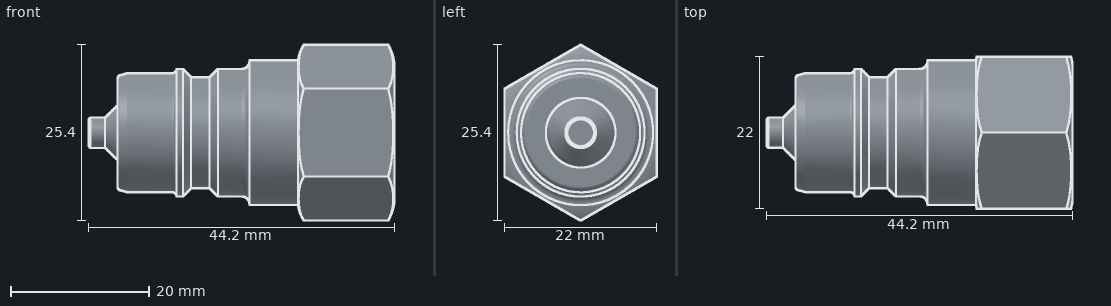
import cadquery as cq
import math

LENGTH = 44.2

PIN_RADIUS = 2.2
PIN_CHAMFER = 0.25
PIN_LENGTH = 2.4
CONE_RADIUS = 4.5
BORE_RADIUS = 5.05
SEAT_LENGTH = 0.8

NOSE_X = 4.15
NOSE_RADIUS = 8.6
NOSE_ROUND = 0.55
TAPER_END_X = 5.6
TAPER_ANGLE = math.radians(15)

COLLAR_RADIUS = 9.25
COLLAR_X = 12.7
COLLAR_WIDTH = 0.93
GROOVE_RADIUS = 8.05
GROOVE_X = 14.8
GROOVE_END_X = 17.45

SHOULDER_X = 23.2
SHOULDER_RADIUS = 10.45
SHOULDER_FILLET = 1.05

HEX_X = 30.2
HEX_FLATS = 22.0
FRONT_CROWN_MID_DROP = 0.105
FRONT_CROWN_DROP = 0.85
REAR_FACE_RADIUS = 8.4
REAR_CROWN_MID_DROP = 0.2
REAR_CROWN_DROP = 0.93


def revolve_about_x(profile):
    return profile.close().revolve(360, (0, 0, 0), (1, 0, 0))


def concave_fillet(profile, start_x, start_radius, fillet):
    """Run a quarter-round fillet outward from a cylinder."""
    offset = fillet * math.sin(math.pi / 4)
    middle = (start_x + offset, start_radius + fillet - offset)
    return profile.threePointArc(middle, (start_x + fillet, start_radius + fillet))


def make_body():
    round_x = NOSE_X + NOSE_ROUND * (1 - math.sin(TAPER_ANGLE))
    round_radius = NOSE_RADIUS - (TAPER_END_X - round_x) * math.tan(TAPER_ANGLE)
    face_radius = round_radius - NOSE_ROUND * math.cos(TAPER_ANGLE)
    middle_angle = (math.pi / 2 - TAPER_ANGLE) / 2
    round_middle = (
        NOSE_X + NOSE_ROUND * (1 - math.cos(middle_angle)),
        face_radius + NOSE_ROUND * math.sin(middle_angle),
    )
    collar_fillet = COLLAR_RADIUS - NOSE_RADIUS
    collar_fillet_x = COLLAR_X - collar_fillet
    shoulder_fillet_x = SHOULDER_X - SHOULDER_FILLET
    groove_depth = COLLAR_RADIUS - GROOVE_RADIUS

    profile = (
        cq.Workplane("XY")
        .moveTo(NOSE_X, 0)
        .lineTo(NOSE_X, face_radius)
        .threePointArc(round_middle, (round_x, round_radius))
        .lineTo(TAPER_END_X, NOSE_RADIUS)
        .lineTo(collar_fillet_x, NOSE_RADIUS)
    )
    profile = concave_fillet(profile, collar_fillet_x, NOSE_RADIUS, collar_fillet)
    profile = (
        profile.lineTo(COLLAR_X + COLLAR_WIDTH, COLLAR_RADIUS)
        .lineTo(GROOVE_X, GROOVE_RADIUS)
        .lineTo(GROOVE_END_X, GROOVE_RADIUS)
        .lineTo(GROOVE_END_X + groove_depth, COLLAR_RADIUS)
        .lineTo(shoulder_fillet_x, COLLAR_RADIUS)
    )
    profile = concave_fillet(profile, shoulder_fillet_x, COLLAR_RADIUS, SHOULDER_FILLET)
    profile = (
        profile.lineTo(SHOULDER_X, SHOULDER_RADIUS)
        .lineTo(HEX_X, SHOULDER_RADIUS)
        .lineTo(HEX_X, 0)
    )
    return revolve_about_x(profile)


def make_hexagon():
    """Hexagon with corners on Z, turned to a shallow dome at both ends."""
    flat_radius = HEX_FLATS / 2
    corner_radius = flat_radius / math.cos(math.pi / 6)
    prism = (
        cq.Workplane("YZ", origin=(HEX_X, 0, 0))
        .transformed(rotate=(0, 0, 90))
        .polygon(6, 2 * corner_radius)
        .extrude(LENGTH - HEX_X)
    )
    envelope = revolve_about_x(
        cq.Workplane("XY")
        .moveTo(HEX_X, 0)
        .lineTo(HEX_X, SHOULDER_RADIUS)
        .threePointArc(
            (HEX_X + FRONT_CROWN_MID_DROP, flat_radius),
            (HEX_X + FRONT_CROWN_DROP, corner_radius),
        )
        .lineTo(LENGTH - REAR_CROWN_DROP, corner_radius)
        .threePointArc(
            (LENGTH - REAR_CROWN_MID_DROP, flat_radius),
            (LENGTH, REAR_FACE_RADIUS),
        )
        .lineTo(LENGTH, 0)
    )
    return prism.intersect(envelope)


def make_poppet(seat_x):
    cone_end_x = PIN_LENGTH + CONE_RADIUS - PIN_RADIUS
    return revolve_about_x(
        cq.Workplane("XY")
        .lineTo(0, PIN_RADIUS - PIN_CHAMFER)
        .lineTo(PIN_CHAMFER, PIN_RADIUS)
        .lineTo(PIN_LENGTH, PIN_RADIUS)
        .lineTo(cone_end_x, CONE_RADIUS)
        .lineTo(seat_x, BORE_RADIUS)
        .lineTo(seat_x, 0)
    )


def make_bore(seat_x):
    return cq.Workplane("YZ", origin=(NOSE_X, 0, 0)).circle(BORE_RADIUS).extrude(seat_x - NOSE_X)


bore_end_x = PIN_LENGTH + CONE_RADIUS - PIN_RADIUS + SEAT_LENGTH
result = make_body().union(make_hexagon()).cut(make_bore(bore_end_x)).union(make_poppet(bore_end_x))